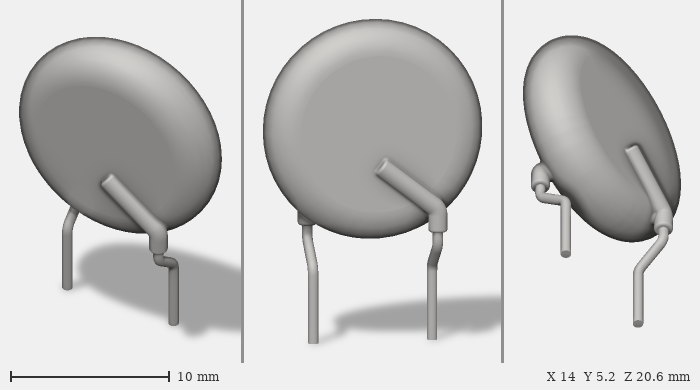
import cadquery as cq
import math

disc_radius = 7.0
disc_thickness = 4.0
part_bottom_z = -13.6

lead_x = 3.81
turn_angle = 52.0

sleeve_diameter = 1.2
sleeve_bottom_z = -6.37
sleeve_bend_z = -5.28
sleeve_bend_radius = 0.75
sleeve_arm_length = 4.33
sleeve_end_round = 0.19
sleeve_root_fillet = 0.16

lead_diameter = 0.65
lead_bend_z = -6.85
lead_bend_radius = 0.8
tail_joint_z = -10.02

face_y = disc_thickness / 2
rim_radius = disc_thickness / 2
flat_radius = disc_radius - rim_radius
turn = math.radians(turn_angle)


def point_on_arc(radius, angle):
    """Sideways and lengthwise travel along an arc that starts lengthwise."""
    return radius * (1 - math.cos(angle)), radius * math.sin(angle)


def make_disc():
    """Flat disc with a fully rounded rim."""
    return (
        cq.Workplane("XY")
        .moveTo(0, -face_y)
        .lineTo(flat_radius, -face_y)
        .threePointArc((disc_radius, 0), (flat_radius, face_y))
        .lineTo(0, face_y)
        .close()
        .revolve(360, (0, 0, 0), (0, 1, 0))
    )


def make_front_sleeve():
    """Bent round sleeve: a vertical foot and an arm sloping to the disc centre."""
    middle_side, middle_rise = point_on_arc(sleeve_bend_radius, turn / 2)
    end_side, end_rise = point_on_arc(sleeve_bend_radius, turn)
    arm_start = (lead_x - end_side, sleeve_bend_z + end_rise)
    arm_end = (
        arm_start[0] - sleeve_arm_length * math.sin(turn),
        arm_start[1] + sleeve_arm_length * math.cos(turn),
    )
    path = (
        cq.Workplane("XZ", origin=(0, -face_y, 0))
        .moveTo(lead_x, sleeve_bottom_z)
        .lineTo(lead_x, sleeve_bend_z)
        .threePointArc((lead_x - middle_side, sleeve_bend_z + middle_rise), arm_start)
        .lineTo(*arm_end)
    )
    foot_plane = cq.Plane((lead_x, -face_y, sleeve_bottom_z), xDir=(0, 1, 0), normal=(0, 0, 1))
    sleeve = (
        cq.Workplane(foot_plane)
        .circle(sleeve_diameter / 2)
        .sweep(path)
    )
    return sleeve.faces("%PLANE").edges("%CIRCLE").fillet(sleeve_end_round)


def half_turn(body):
    """Copy of a front body turned to the rear face of the disc."""
    return body.rotate((0, 0, 0), (0, 0, 1), 180)


def make_coating():
    """Disc and both sleeves in one piece, blended where they meet."""
    sleeve = make_front_sleeve()
    coating = make_disc().union(sleeve).union(half_turn(sleeve))
    root_zone = cq.selectors.BoxSelector(
        (-lead_x, -face_y - sleeve_root_fillet, sleeve_bend_z),
        (lead_x, face_y + sleeve_root_fillet, 0),
    )
    return coating.edges(root_zone).edges("%LINE").fillet(sleeve_root_fillet)


def make_front_lead(bottom_z):
    """Round wire that jogs from the disc face to the middle plane."""
    middle_side, middle_drop = point_on_arc(lead_bend_radius, turn / 2)
    end_side, end_drop = point_on_arc(lead_bend_radius, turn)
    slope_length = (face_y - 2 * end_side) / math.sin(turn)
    jog_bottom_z = lead_bend_z - 2 * end_drop - slope_length * math.cos(turn)
    path = (
        cq.Workplane("YZ", origin=(lead_x, 0, 0))
        .moveTo(-face_y, sleeve_bottom_z)
        .lineTo(-face_y, lead_bend_z)
        .threePointArc(
            (-face_y + middle_side, lead_bend_z - middle_drop),
            (-face_y + end_side, lead_bend_z - end_drop),
        )
        .lineTo(-end_side, jog_bottom_z + end_drop)
        .threePointArc((-middle_side, jog_bottom_z + middle_drop), (0, jog_bottom_z))
        .lineTo(0, bottom_z)
    )
    return (
        cq.Workplane("XY", origin=(lead_x, -face_y, sleeve_bottom_z))
        .circle(lead_diameter / 2)
        .sweep(path)
    )


def make_lead_tail():
    """Straight end piece that continues the front lead."""
    return (
        cq.Workplane("XY", origin=(lead_x, 0, part_bottom_z))
        .circle(lead_diameter / 2)
        .extrude(tail_joint_z - part_bottom_z)
    )


coating = make_coating()
front_lead = make_front_lead(tail_joint_z)
lead_tail = make_lead_tail()
rear_lead = half_turn(make_front_lead(part_bottom_z))

result = cq.Compound.makeCompound(
    [coating.solids().val(), front_lead.val(), lead_tail.val(), rear_lead.val()]
)